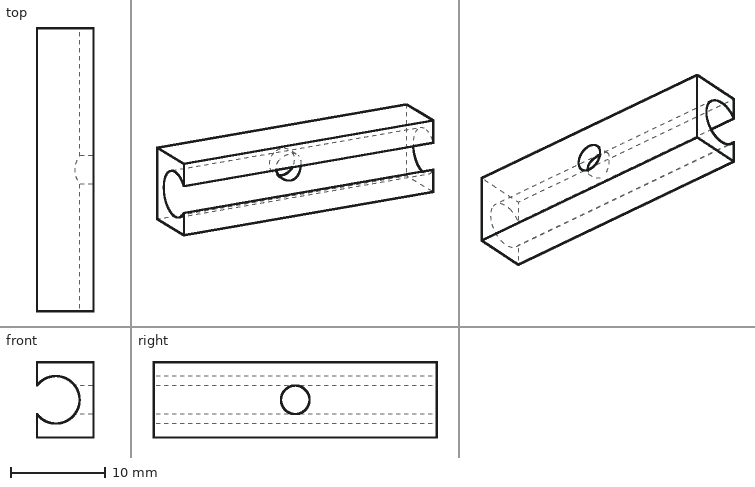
import cadquery as cq
import math

width = 6.0
length = 30.0
height = 8.0

channel_diameter = 5.0
slot_opening = 3.0

cross_hole_diameter = slot_opening

channel_radius = channel_diameter / 2
axis_depth = math.sqrt(channel_radius**2 - (slot_opening / 2) ** 2)
channel_x = -width / 2 + axis_depth

block = cq.Workplane("XY").box(width, length, height)

channel = (
    cq.Workplane("XZ")
    .center(channel_x, 0)
    .circle(channel_radius)
    .extrude(length / 2, both=True)
)

cross_hole = (
    cq.Workplane("YZ")
    .circle(cross_hole_diameter / 2)
    .extrude(width / 2, both=True)
)

result = block.cut(channel).cut(cross_hole)